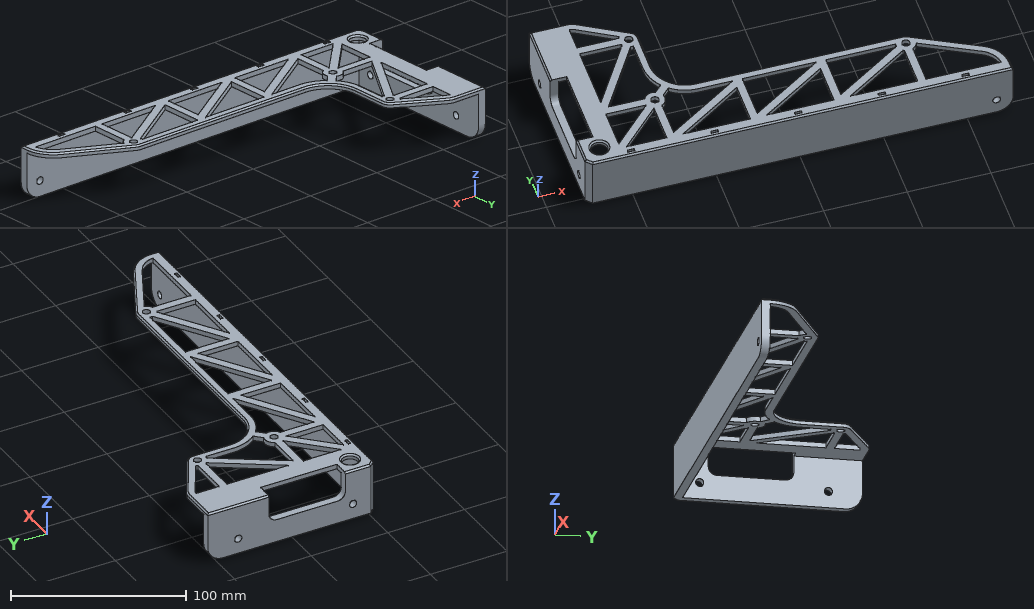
import cadquery as cq
import math

LENGTH = 255.0
WIDTH = 110.0
HEIGHT = 33.0

PLATE = 3.0
WALL = 5.0
EDGE_CHAMFER = 1.0
CORNER_CUT = 3.5
WALL_CORNER_RADIUS = 10.0

PITCH = 50.0
ELBOW_X = 52.5
ELBOW_Y = 37.5
BAYS = 3
NODE_DIAMETER = 12.0
NODE_RADIUS = NODE_DIAMETER / 2
RIB = 5.0
SCREW_DIAMETER = 4.5

SHOULDER_X = 22.7
SHOULDER_RADIUS = 10.0
TIP_RADIUS = 20.0
ELBOW_RADIUS = 20.0

BORDER_X = 22.5
BORDER_Y = 7.0

NOTCH_Y_MIN = 20.1
NOTCH_Y_MAX = 69.9
NOTCH_FLOOR = 15.0
NOTCH_DEPTH = 10.0
NOTCH_RADIUS = 5.0

CORNER_HOLE = 11.0
CORNER_HOLE_DIAMETER = 10.0

WALL_HOLE_Z = 10.0
LEFT_WALL_HOLES_Y = (15.0, 90.0)
FRONT_WALL_HOLE_X = LENGTH - 10.0

POCKET_COUNT = 5
POCKET_FIRST_X = 27.5
POCKET_Y = 3.3
POCKET_LENGTH = 4.0
POCKET_WIDTH = 1.5

elbow = (ELBOW_X, ELBOW_Y)
upper_node = (ELBOW_X, ELBOW_Y + PITCH)
end_node = (ELBOW_X + BAYS * PITCH, ELBOW_Y)


def on_circle(center, radius, angle):
    """Point on a circle at an angle in radians."""
    return (center[0] + radius * math.cos(angle), center[1] + radius * math.sin(angle))


def tangent_normal(center_a, radius_a, center_b, radius_b):
    """Direction of the outward normal of the upper line tangent to two circles, going from a to b."""
    dx = center_b[0] - center_a[0]
    dy = center_b[1] - center_a[1]
    return math.atan2(dy, dx) + math.acos((radius_a - radius_b) / math.hypot(dx, dy))


def arc_between(sketch, center, radius, start, end):
    """Continue an outline along a circle between two angles."""
    return sketch.threePointArc(
        on_circle(center, radius, (start + end) / 2), on_circle(center, radius, end)
    )


def plate_outline():
    """L-shaped outline whose sloped edges are tangent to the rounded corners at their ends."""
    up = math.pi / 2
    shoulder = (SHOULDER_X, WIDTH - SHOULDER_RADIUS)
    tip = (LENGTH - TIP_RADIUS, WALL)
    upper_slope = tangent_normal(shoulder, SHOULDER_RADIUS, upper_node, NODE_RADIUS)
    end_slope = tangent_normal(end_node, NODE_RADIUS, tip, TIP_RADIUS)
    inner_x = ELBOW_X + NODE_RADIUS
    inner_y = ELBOW_Y + NODE_RADIUS
    bend = (inner_x + ELBOW_RADIUS, inner_y + ELBOW_RADIUS)

    outline = cq.Workplane("XY").moveTo(CORNER_CUT, 0).lineTo(0, CORNER_CUT).lineTo(0, WIDTH)
    outline = outline.lineTo(SHOULDER_X, WIDTH)
    outline = arc_between(outline, shoulder, SHOULDER_RADIUS, up, upper_slope)
    outline = outline.lineTo(*on_circle(upper_node, NODE_RADIUS, upper_slope))
    outline = arc_between(outline, upper_node, NODE_RADIUS, upper_slope, 0)
    outline = outline.lineTo(inner_x, bend[1])
    outline = arc_between(outline, bend, ELBOW_RADIUS, math.pi, 1.5 * math.pi)
    outline = outline.lineTo(end_node[0], inner_y)
    outline = arc_between(outline, end_node, NODE_RADIUS, up, end_slope)
    outline = outline.lineTo(*on_circle(tip, TIP_RADIUS, end_slope))
    outline = arc_between(outline, tip, TIP_RADIUS, end_slope, 0)
    return outline.lineTo(LENGTH, 0).close()


def block(x_min, x_max, y_min, y_max, z_min, z_max):
    """Box given by its limits."""
    size = (x_max - x_min, y_max - y_min, z_max - z_min)
    return cq.Workplane("XY").box(*size, centered=False).translate((x_min, y_min, z_min))


def rib(start, end):
    """Straight rib, as tall as the part, centred on the line between two points."""
    dx = end[0] - start[0]
    dy = end[1] - start[1]
    bar = cq.Workplane("XY").rect(math.hypot(dx, dy), RIB).extrude(HEIGHT)
    bar = bar.rotate((0, 0, 0), (0, 0, 1), math.degrees(math.atan2(dy, dx)))
    return bar.translate(((start[0] + end[0]) / 2, (start[1] + end[1]) / 2, 0))


def truss_windows():
    """Openings of the plate: the inset outline with the ribs and node bosses left standing."""
    windows = plate_outline().offset2D(-RIB).extrude(HEIGHT)
    windows = windows.intersect(block(BORDER_X, LENGTH, BORDER_Y, WIDTH, 0, HEIGHT))
    half = RIB / 2

    ribs = [
        rib((0, upper_node[1]), upper_node),
        rib((0, ELBOW_Y), elbow),
        rib((BORDER_X, ELBOW_Y + half), upper_node),
        rib((BORDER_X, BORDER_Y), elbow),
        rib(elbow, (ELBOW_X + ELBOW_RADIUS / 2, ELBOW_Y + ELBOW_RADIUS / 2)),
    ]
    for bay in range(BAYS + 1):
        post_x = ELBOW_X + bay * PITCH
        post_top = ELBOW_Y if bay in (0, BAYS) else ELBOW_Y + NODE_RADIUS
        ribs.append(rib((post_x, 0), (post_x, post_top)))
    for bay in range(BAYS):
        post_x = ELBOW_X + bay * PITCH
        ribs.append(rib((post_x + half, BORDER_Y), (post_x + PITCH, ELBOW_Y)))
    for bar in ribs:
        windows = windows.cut(bar)

    nodes = [elbow, upper_node, end_node]
    bosses = cq.Workplane("XY").pushPoints(nodes).circle(NODE_RADIUS).extrude(HEIGHT)
    holes = cq.Workplane("XY").pushPoints(nodes).circle(SCREW_DIAMETER / 2).extrude(HEIGHT)
    return windows.cut(bosses).union(holes)


def shell():
    """Chamfered top plate with the left and front walls hanging below it."""
    body = plate_outline().extrude(HEIGHT).faces(">Z").chamfer(EDGE_CHAMFER)
    below = block(WALL, LENGTH, WALL, WIDTH, 0, HEIGHT - PLATE)
    body = body.cut(below)
    body = body.edges("|X and <Z and >Y").fillet(WALL_CORNER_RADIUS)
    return body.edges("|Y and <Z and >X").fillet(WALL_CORNER_RADIUS)


def notch():
    """Opening in the left wall, rounded at its floor, that also runs into the plate."""
    y_limits = (NOTCH_Y_MIN, NOTCH_Y_MAX)
    cutter = block(0, NOTCH_DEPTH, *y_limits, NOTCH_FLOOR, HEIGHT)
    return cutter.edges("|X and <Z").fillet(NOTCH_RADIUS)


def corner_hole():
    """Through hole with a chamfered rim."""
    radius = CORNER_HOLE_DIAMETER / 2
    hole = cq.Workplane("XY").circle(radius).extrude(HEIGHT)
    rim = cq.Workplane("XY").workplane(offset=HEIGHT - EDGE_CHAMFER).circle(radius)
    rim = rim.workplane(offset=EDGE_CHAMFER).circle(radius + EDGE_CHAMFER).loft()
    return hole.union(rim).translate((CORNER_HOLE, CORNER_HOLE, 0))


def wall_holes():
    """Screw holes through the left and front walls."""
    radius = SCREW_DIAMETER / 2
    left = cq.Workplane("YZ").pushPoints([(y, WALL_HOLE_Z) for y in LEFT_WALL_HOLES_Y])
    front = cq.Workplane("XZ").center(FRONT_WALL_HOLE_X, WALL_HOLE_Z)
    return left.circle(radius).extrude(WALL).union(front.circle(radius).extrude(-WALL))


def pockets():
    """Row of blind pockets, as deep as the plate."""
    centers = [(POCKET_FIRST_X + i * PITCH, POCKET_Y) for i in range(POCKET_COUNT)]
    row = cq.Workplane("XY").workplane(offset=HEIGHT - PLATE).pushPoints(centers)
    return row.rect(POCKET_LENGTH, POCKET_WIDTH).extrude(PLATE)


result = shell()
for cutter in (truss_windows(), notch(), corner_hole(), wall_holes(), pockets()):
    result = result.cut(cutter)